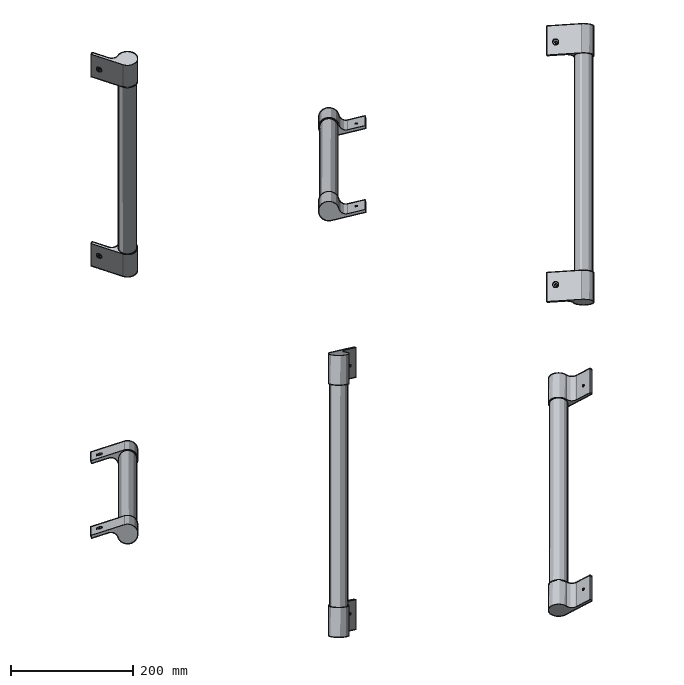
import cadquery as cq
import math

total_height = 470.0
bracket_width = 75.0
bracket_height = 50.0
barrel_diameter = 34.0
plate_thickness = 5.0
bar_diameter = 30.0
hole_diameter = 4.0
counterbore_diameter = 10.0
counterbore_depth = 2.5
hole_from_plate_end = 15.0
hole_from_outer_end = 28.0

barrel_radius = barrel_diameter / 2
fillet_radius = barrel_radius - plate_thickness
plate_end_x = barrel_radius - bracket_width
plate_front_y = -barrel_radius
plate_back_y = plate_front_y + plate_thickness
fillet_center_x = -barrel_radius - fillet_radius
hole_x = plate_end_x + hole_from_plate_end
bar_length = total_height - 2 * bracket_height


def make_bracket(bottom_z, hole_z):
    """Mounting plate that flows through a concave fillet into a round barrel."""
    fillet_offset = fillet_radius * math.sqrt(0.5)
    fillet_middle = (fillet_center_x + fillet_offset, -fillet_offset)
    barrel_middle = (barrel_radius * math.sqrt(0.5), barrel_radius * math.sqrt(0.5))

    body = (
        cq.Workplane("XY", origin=(0, 0, bottom_z))
        .moveTo(plate_end_x, plate_front_y)
        .lineTo(0, plate_front_y)
        .threePointArc(barrel_middle, (-barrel_radius, 0))
        .threePointArc(fillet_middle, (fillet_center_x, plate_back_y))
        .lineTo(plate_end_x, plate_back_y)
        .close()
        .extrude(bracket_height)
    )
    return (
        body.faces("<Y")
        .workplane(origin=(hole_x, plate_front_y, hole_z))
        .cboreHole(hole_diameter, counterbore_diameter, counterbore_depth)
    )


def make_bar():
    """Round grip bar held between the facing ends of the brackets."""
    return (
        cq.Workplane("XY", origin=(0, 0, bracket_height))
        .circle(bar_diameter / 2)
        .extrude(bar_length)
    )


bracket_places = [
    (0, hole_from_outer_end),
    (total_height - bracket_height, total_height - hole_from_outer_end),
]
brackets = [make_bracket(bottom_z, hole_z) for bottom_z, hole_z in bracket_places]
bar = make_bar()

result = cq.Compound.makeCompound([bar.val(), *[bracket.val() for bracket in brackets]])